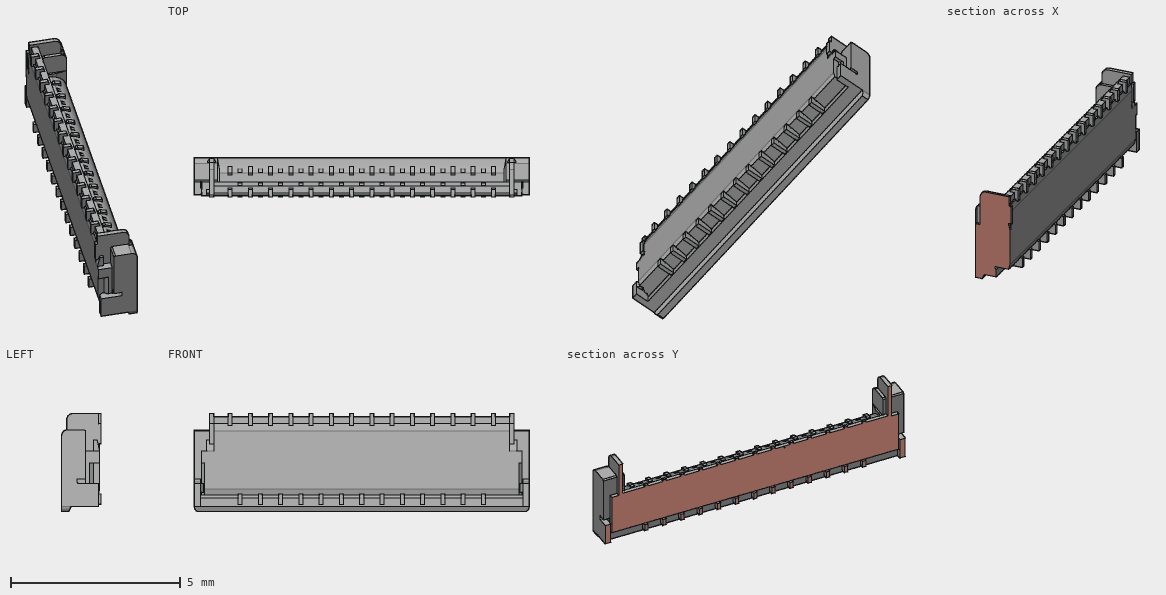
import cadquery as cq
import math

LENGTH = 9.9
DEPTH = 1.17
HEIGHT = 2.9

UPPER_COUNT = 14
LOWER_COUNT = UPPER_COUNT - 1
UPPER_ROW_SPAN = 7.78
PITCH = UPPER_ROW_SPAN / (UPPER_COUNT - 1)
BLADE_WIDTH = 0.12
UPPER_TAIL_BOTTOM = 2.53
UPPER_TAIL_SLOPE = 0.23
UPPER_TAIL_BACK = 0.27
LOWER_TAIL_BOTTOM = 0.21
LOWER_TAIL_TOP = 0.52
LOWER_TAIL_FLAT = 0.06
TIP_ROOT = 1.485
UPPER_TIP_FRONT = 0.65
UPPER_TIP_BACK = 0.9
UPPER_TIP_NOSE_RISE = 0.03
UPPER_TIP_RISE = 0.06
LOWER_TIP_FRONT = 0.72
LOWER_TIP_BACK = 0.84
LOWER_TIP_RISE = 0.03
LOWER_TIP_DROP = 0.05
HEEL_FRONT = 0.35
HEEL_BACK = 0.43
HEEL_RISE = 0.05

HOUSING_FRONT = 0.04
HOUSING_BACK = 0.46
HOUSING_TOP = 2.8
HOUSING_BOTTOM = 0.49
HOUSING_HALF_WIDE = 4.73
HOUSING_HALF_NARROW = 4.37
SHOULDER_Z = 1.79
RIM_FRONT = 0.12
RIM_BACK = 0.33
RIM_SLOPE_BOTTOM = 2.39
RIM_SLOPE_TOP = 2.59
RIM_SLOPE_BACK = 0.07
BACK_STEP_Z = 1.83
UNDERCUT_TOP = 0.66
UNDERCUT_BACK = 0.09

RELIEF_TOP = 1.44
RELIEF_DEPTH = 0.09
RELIEF_FLAT_BACK = 0.23
RELIEF_SLOPE_BACK = 0.34

BAR_TOP = 1.68
BAR_FLAT_BACK = 0.71
BAR_ROUND = 0.59
BAR_FRONT = 0.495
BAR_LEAD_IN_Z = 0.4
BAR_LEAD_IN_DEPTH = 0.04
FLAP_BOTTOM = 0.15
BLOCK_TOP = 2.42
BLOCK_INNER = 4.27
BLOCK_ROUND = 0.18
BLOCK_BEVEL_HEIGHT = 0.03
BLOCK_BEVEL_DEPTH = 0.05
GUSSET_INNER = 4.21
GUSSET_TAPER_START = 0.84
GUSSET_TOP = 1.78
FOOT_INNER = 4.76
FOOT_FRONT = 0.07
FOOT_TOP = 0.83
NOTCH_TOP = 0.96
NOTCH_BACK = 0.7
NOTCH_ROUND = 0.04
LUG_TIP = 4.67
LUG_TIP_Y = 0.2
LUG_BACK = 0.3
LUG_BOTTOM = 0.56
LIP_FRONT_TOP = 0.88
LIP_FRONT_BOTTOM = 0.95
LIP_END_INSET = 0.09
LIP_END_RADIUS = 0.18

PLATE_OUTER = 4.5
PLATE_BOTTOM = 2.0
PLATE_BACK = 1.02
PLATE_ROUND = 0.2
PLATE_STEP_DEPTH = RIM_SLOPE_BACK
PLATE_SLOT_BACK = 1.14
PLATE_SLOT_FLARE = 0.06
BUMP_OUTER = 4.58
BUMP_TOP = 2.12
BUMP_BACK = 0.23


def box(x0, x1, y0, y1, z0, z1):
    return cq.Workplane("XY").box(x1 - x0, y1 - y0, z1 - z0, centered=False).translate((x0, y0, z0))


def along_x(sketch, x0, x1):
    """Extrude a closed YZ profile from x0 to x1."""
    return sketch.close().extrude(x1 - x0).translate((x0, 0, 0))


def profile():
    return cq.Workplane("YZ")


def both_ends(solid):
    return solid.union(solid.mirror("YZ"))


def contact_centres(count):
    return [(i - (count - 1) / 2) * PITCH for i in range(count)]


def housing():
    outline = profile().polyline([
        (HOUSING_FRONT, UNDERCUT_TOP),
        (HOUSING_FRONT, RIM_SLOPE_BOTTOM),
        (RIM_SLOPE_BACK, RIM_SLOPE_TOP),
        (RIM_FRONT, RIM_SLOPE_TOP),
        (RIM_FRONT, HOUSING_TOP),
        (RIM_BACK, HOUSING_TOP),
        (RIM_BACK, BACK_STEP_Z),
        (HOUSING_BACK, BACK_STEP_Z),
        (HOUSING_BACK, HOUSING_BOTTOM),
        (UNDERCUT_BACK, HOUSING_BOTTOM),
    ])
    body = along_x(outline, -HOUSING_HALF_WIDE, HOUSING_HALF_WIDE)
    shoulder = box(-LENGTH / 2, -HOUSING_HALF_NARROW, 0, DEPTH, SHOULDER_Z, HEIGHT)
    relief = (
        cq.Workplane("XY")
        .polyline([
            (-HOUSING_HALF_WIDE, HOUSING_FRONT),
            (-HOUSING_HALF_WIDE + RELIEF_DEPTH, HOUSING_FRONT),
            (-HOUSING_HALF_WIDE + RELIEF_DEPTH, RELIEF_FLAT_BACK),
            (-HOUSING_HALF_WIDE, RELIEF_SLOPE_BACK),
        ])
        .close()
        .extrude(RELIEF_TOP)
    )
    return body.cut(both_ends(shoulder)).cut(both_ends(relief))


def bar():
    round_centre = DEPTH - BAR_ROUND
    round_bottom = BAR_TOP - math.sqrt(BAR_ROUND**2 - (BAR_FLAT_BACK - round_centre) ** 2)
    outline = (
        profile()
        .moveTo(BAR_FRONT, FLAP_BOTTOM)
        .lineTo(BAR_FRONT, BAR_LEAD_IN_Z)
        .lineTo(BAR_FRONT + BAR_LEAD_IN_DEPTH, HOUSING_BOTTOM)
        .lineTo(HOUSING_BACK, HOUSING_BOTTOM)
        .lineTo(HOUSING_BACK, BAR_TOP)
        .lineTo(BAR_FLAT_BACK, BAR_TOP)
        .radiusArc((DEPTH, round_bottom), BAR_ROUND)
        .lineTo(DEPTH, FLAP_BOTTOM)
    )
    return along_x(outline, -FOOT_INNER, FOOT_INNER)


def lip():
    section = profile().polyline([
        (LIP_FRONT_TOP, FLAP_BOTTOM),
        (DEPTH, FLAP_BOTTOM),
        (DEPTH, 0),
        (LIP_FRONT_BOTTOM, 0),
    ])
    half = LENGTH / 2
    rounded_ends = (
        cq.Workplane("XZ")
        .moveTo(-half, FLAP_BOTTOM)
        .lineTo(half, FLAP_BOTTOM)
        .radiusArc((half - LIP_END_INSET, 0), LIP_END_RADIUS)
        .lineTo(LIP_END_INSET - half, 0)
        .radiusArc((-half, FLAP_BOTTOM), LIP_END_RADIUS)
        .close()
        .extrude(-DEPTH)
    )
    return along_x(section, -half, half).intersect(rounded_ends)


def plate_slot():
    """Slot behind the retaining plate, flared at its mouth."""
    slot = box(-PLATE_OUTER, -HOUSING_HALF_NARROW, HOUSING_BACK, PLATE_SLOT_BACK, SHOULDER_Z, BLOCK_TOP)
    mouth = (
        cq.Workplane("XZ")
        .polyline([
            (-PLATE_OUTER - PLATE_SLOT_FLARE, BLOCK_TOP),
            (-HOUSING_HALF_NARROW + PLATE_SLOT_FLARE, BLOCK_TOP),
            (-HOUSING_HALF_NARROW, BLOCK_TOP - PLATE_SLOT_FLARE),
            (-PLATE_OUTER, BLOCK_TOP - PLATE_SLOT_FLARE),
        ])
        .close()
        .extrude(PLATE_BACK - PLATE_SLOT_BACK)
        .translate((0, PLATE_BACK, 0))
    )
    return slot.union(mouth)


def gusset():
    """Tapering thickening where the bar meets the end block."""
    return (
        cq.Workplane("XY")
        .workplane(offset=HOUSING_BOTTOM)
        .polyline([
            (-BLOCK_INNER, HOUSING_BACK),
            (-GUSSET_INNER, HOUSING_BACK),
            (-GUSSET_INNER, GUSSET_TAPER_START),
            (-BLOCK_INNER, DEPTH),
        ])
        .close()
        .extrude(GUSSET_TOP - HOUSING_BOTTOM)
    )


def foot_lug():
    """Pointed lug on the inner side of a foot."""
    return (
        cq.Workplane("XY")
        .workplane(offset=LUG_BOTTOM)
        .polyline([
            (-FOOT_INNER, FOOT_FRONT),
            (-LUG_TIP, LUG_TIP_Y),
            (-FOOT_INNER, LUG_BACK),
        ])
        .close()
        .extrude(FOOT_TOP - LUG_BOTTOM)
    )


def end_block():
    block = box(-LENGTH / 2, -BLOCK_INNER, HOUSING_BACK, DEPTH, FLAP_BOTTOM, BLOCK_TOP)
    block = block.edges("|X and >Z and >Y").fillet(BLOCK_ROUND)
    block = block.faces("<Y").edges(">Z").chamfer(BLOCK_BEVEL_DEPTH, BLOCK_BEVEL_HEIGHT)
    below_housing = box(-FOOT_INNER, -BLOCK_INNER, HOUSING_BACK, DEPTH, FLAP_BOTTOM, HOUSING_BOTTOM)
    foot = box(-LENGTH / 2, -FOOT_INNER, FOOT_FRONT, HOUSING_BACK, FLAP_BOTTOM, FOOT_TOP).union(foot_lug())
    notch = box(-LENGTH / 2, -FOOT_INNER, HOUSING_BACK, NOTCH_BACK, FOOT_TOP, NOTCH_TOP)
    notch = notch.edges("|X and >Y and <Z").fillet(NOTCH_ROUND)
    return block.cut(plate_slot()).cut(below_housing).union(foot).cut(notch).union(gusset())


def retaining_plate():
    plate = box(-PLATE_OUTER, -HOUSING_HALF_NARROW, 0, PLATE_BACK, SHOULDER_Z, HEIGHT)
    plate = plate.edges("|X and >Y and >Z").fillet(PLATE_ROUND)
    below_plate = box(-PLATE_OUTER, -HOUSING_HALF_NARROW, 0, BUMP_BACK, SHOULDER_Z, PLATE_BOTTOM)
    top_step = box(-PLATE_OUTER, -HOUSING_HALF_NARROW, 0, PLATE_STEP_DEPTH, RIM_SLOPE_TOP, HEIGHT)
    bump = profile().polyline([
        (HOUSING_FRONT, SHOULDER_Z),
        (RIM_FRONT, BUMP_TOP),
        (BUMP_BACK, BUMP_TOP),
        (BUMP_BACK, SHOULDER_Z),
    ])
    return plate.cut(below_plate).cut(top_step).union(along_x(bump, -BUMP_OUTER, -HOUSING_HALF_NARROW))


def blade(points, x):
    return along_x(profile().polyline(points), x - BLADE_WIDTH / 2, x + BLADE_WIDTH / 2)


UPPER_TAIL = [
    (0, UPPER_TAIL_BOTTOM),
    (0, HEIGHT),
    (UPPER_TAIL_SLOPE, HEIGHT),
    (UPPER_TAIL_BACK, HOUSING_TOP),
    (UPPER_TAIL_BACK, UPPER_TAIL_BOTTOM),
]
LOWER_TAIL = [
    (0, LOWER_TAIL_BOTTOM),
    (0, LOWER_TAIL_TOP),
    (LOWER_TAIL_FLAT, LOWER_TAIL_TOP),
    (BAR_FRONT, BAR_LEAD_IN_Z),
    (BAR_FRONT, LOWER_TAIL_BOTTOM),
]
UPPER_TIP = [
    (UPPER_TIP_FRONT, TIP_ROOT),
    (UPPER_TIP_FRONT, BAR_TOP + UPPER_TIP_NOSE_RISE),
    (BAR_FLAT_BACK, BAR_TOP + UPPER_TIP_RISE),
    (UPPER_TIP_BACK, BAR_TOP),
    (UPPER_TIP_BACK, TIP_ROOT),
]
LOWER_TIP = [
    (LOWER_TIP_FRONT, TIP_ROOT),
    (LOWER_TIP_FRONT, BAR_TOP + LOWER_TIP_RISE),
    (LOWER_TIP_BACK, BAR_TOP - LOWER_TIP_DROP),
    (LOWER_TIP_BACK, TIP_ROOT),
]
LOWER_HEEL = [
    (HEEL_FRONT, BACK_STEP_Z),
    (HEEL_FRONT, BACK_STEP_Z + HEEL_RISE),
    (HEEL_BACK, BACK_STEP_Z + HEEL_RISE),
    (HEEL_BACK, BACK_STEP_Z),
]

CONTACT_ROWS = [
    (UPPER_COUNT, [UPPER_TAIL, UPPER_TIP]),
    (LOWER_COUNT, [LOWER_TAIL, LOWER_TIP, LOWER_HEEL]),
]

result = housing().union(bar()).union(lip())
result = result.union(both_ends(end_block())).union(both_ends(retaining_plate()))
for count, outlines in CONTACT_ROWS:
    for centre in contact_centres(count):
        for outline in outlines:
            result = result.union(blade(outline, centre))